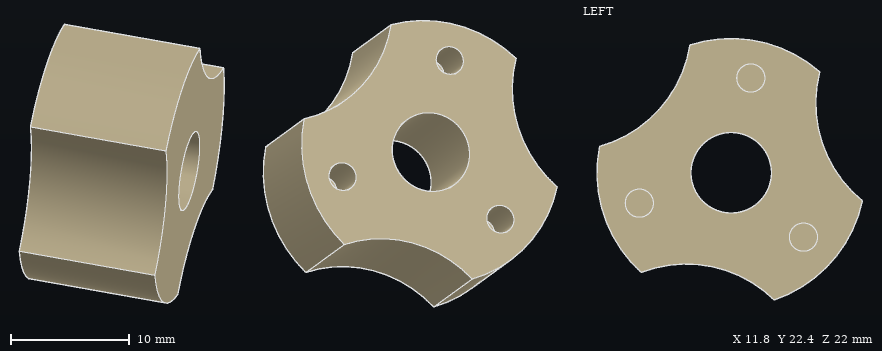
import cadquery as cq
import math

length = 11.83
outer_diameter = 22.6
bore_diameter = 6.75
pin_hole_diameter = 2.37
pin_circle_radius = 8.15
pin_hole_depth = length / 2
scallop_radius = 10.53
scallop_circle_radius = 18.6

lobe_count = 3
lobe_pitch = 360 / lobe_count
first_lobe_angle = 101.7
first_scallop_angle = first_lobe_angle - lobe_pitch / 2


def ring_points(radius, start_angle):
    """Centre points spaced once per lobe on a circle about the axis."""
    angles = [math.radians(start_angle + i * lobe_pitch) for i in range(lobe_count)]
    return [(radius * math.cos(a), radius * math.sin(a)) for a in angles]


def make_cylinders(points, radius, depth):
    """Cylinders rising along +X from the -X end face."""
    return cq.Workplane("YZ").pushPoints(points).circle(radius).extrude(depth)


body = cq.Workplane("YZ").circle(outer_diameter / 2).circle(bore_diameter / 2).extrude(length)

scallop_centres = ring_points(scallop_circle_radius, first_scallop_angle)
scallops = make_cylinders(scallop_centres, scallop_radius, length)

pin_hole_centres = ring_points(pin_circle_radius, first_lobe_angle)
pin_holes = make_cylinders(pin_hole_centres, pin_hole_diameter / 2, pin_hole_depth)

result = body.cut(scallops).cut(pin_holes)